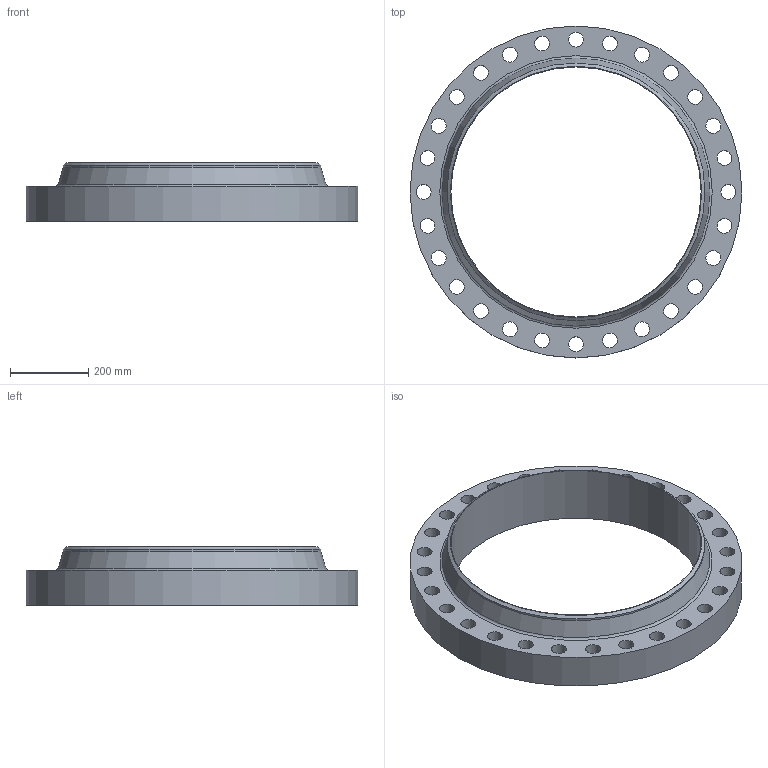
import cadquery as cq
import math


flange_diameter = 850.9
flange_thickness = 90.0
overall_height = 149.35

bolt_count = 28
bolt_circle_diameter = 781.05
bolt_hole_diameter = 38.1

pipe_diameter = 660.4
pipe_wall = 9.525
hub_base_diameter = 689.0
hub_fillet_radius = 6.4
land_height = 5.0
bevel_angle = 37.5
root_face_width = 1.6

flange_radius = flange_diameter / 2
pipe_radius = pipe_diameter / 2
bore_radius = pipe_radius - pipe_wall
hub_base_radius = hub_base_diameter / 2
root_face_radius = bore_radius + root_face_width
bevel_height = (pipe_radius - root_face_radius) * math.tan(math.radians(bevel_angle))
land_top = overall_height - bevel_height
land_bottom = land_top - land_height

hub_taper = math.atan2(hub_base_radius - pipe_radius, land_bottom - flange_thickness)
fillet_turn = math.pi / 2 - hub_taper
fillet_tangent_length = hub_fillet_radius * math.tan(fillet_turn / 2)
fillet_center_radius = hub_base_radius + fillet_tangent_length
fillet_center_height = flange_thickness + hub_fillet_radius


def fillet_point(turn):
    """Point on the hub fillet, turned from its lowest point towards the hub."""
    return (
        fillet_center_radius - hub_fillet_radius * math.sin(turn),
        fillet_center_height - hub_fillet_radius * math.cos(turn),
    )


def make_body():
    """Revolve the radial section of flange ring, hub and bevelled weld end."""
    return (
        cq.Workplane("XZ")
        .moveTo(bore_radius, 0)
        .lineTo(flange_radius, 0)
        .lineTo(flange_radius, flange_thickness)
        .lineTo(*fillet_point(0))
        .threePointArc(fillet_point(fillet_turn / 2), fillet_point(fillet_turn))
        .lineTo(pipe_radius, land_bottom)
        .lineTo(pipe_radius, land_top)
        .lineTo(root_face_radius, overall_height)
        .lineTo(bore_radius, overall_height)
        .close()
        .revolve(360, (0, 0, 0), (0, 1, 0))
    )


def make_bolt_holes():
    """Through holes evenly spaced on the bolt circle, the first one on +X."""
    return (
        cq.Workplane("XY")
        .polarArray(bolt_circle_diameter / 2, 0, 360, bolt_count)
        .circle(bolt_hole_diameter / 2)
        .extrude(flange_thickness)
    )


result = make_body().cut(make_bolt_holes())